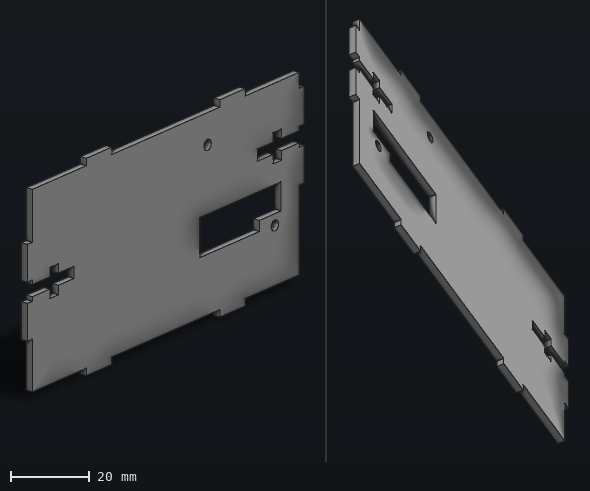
import cadquery as cq

thickness = 2.0
overall_length = 112.0
overall_height = 59.0

tab_depth = thickness
tab_width = 10.3
end_tab_spacing = 16.0

panel_length = overall_length - 2 * tab_depth
panel_height = overall_height - 2 * tab_depth
half_length = panel_length / 2
edge_tab_offset = panel_length / 4

joint_height_pos_y = 10.0
joint_height_neg_y = 0.0
bolt_slot_length = 16.9
bolt_slot_width = 3.2
nut_pocket_inset = 7.2
nut_pocket_thickness = 3.4
nut_pocket_width = 8.4

window_inset = 7.4
window_length = 32.8
window_top = -0.1
window_height = 10.9
step_length = 8.7
step_height = 3.0

hole_diameter = 2.9
hole_centers = [(16.9, 18.7), (44.1, -11.2)]


def block(y_start, y_end, z_center, height):
    """Box through the full sheet thickness, between two Y positions."""
    return cq.Workplane("XY").box(thickness, abs(y_end - y_start), height).translate(
        (0, (y_start + y_end) / 2, z_center)
    )


def add_long_edge_tabs(panel):
    """Tabs on the top and bottom edges, at the quarter points of the length.

    Each pair is one strip running through the panel from tab to tab.
    """
    for y_center in (-edge_tab_offset, edge_tab_offset):
        y_start = y_center - tab_width / 2
        panel = panel.union(block(y_start, y_start + tab_width, 0, overall_height))
    return panel


def add_end_joint(panel, side, z_center):
    """Two tabs with a T-slot between them on the +Y (side=1) or -Y (side=-1) end."""
    end = side * half_length
    for z_offset in (-end_tab_spacing / 2, end_tab_spacing / 2):
        tab = block(end - side * tab_depth, end + side * tab_depth, z_center + z_offset, tab_width)
        panel = panel.union(tab)

    bolt_slot = block(end, end - side * bolt_slot_length, z_center, bolt_slot_width)
    pocket_start = end - side * nut_pocket_inset
    pocket_end = pocket_start - side * nut_pocket_thickness
    nut_pocket = block(pocket_start, pocket_end, z_center, nut_pocket_width)
    return panel.cut(bolt_slot).cut(nut_pocket)


def cut_window(panel):
    """Rectangular window with its lower +Y corner left solid as a step."""
    y_outer = half_length - window_inset
    y_inner = y_outer - window_length
    window = block(y_inner, y_outer, window_top - window_height / 2, window_height)
    step_center = window_top - window_height + step_height / 2
    step = block(y_outer - step_length, y_outer, step_center, step_height)
    return panel.cut(window.cut(step))


def cut_holes(panel):
    """Round through holes across the sheet."""
    holes = (
        cq.Workplane("YZ")
        .pushPoints(hole_centers)
        .circle(hole_diameter / 2)
        .extrude(thickness, both=True)
    )
    return panel.cut(holes)


panel = block(-half_length, half_length, 0, panel_height)
panel = add_long_edge_tabs(panel)
panel = add_end_joint(panel, 1, joint_height_pos_y)
panel = add_end_joint(panel, -1, joint_height_neg_y)
panel = cut_window(panel)
panel = cut_holes(panel)

result = panel